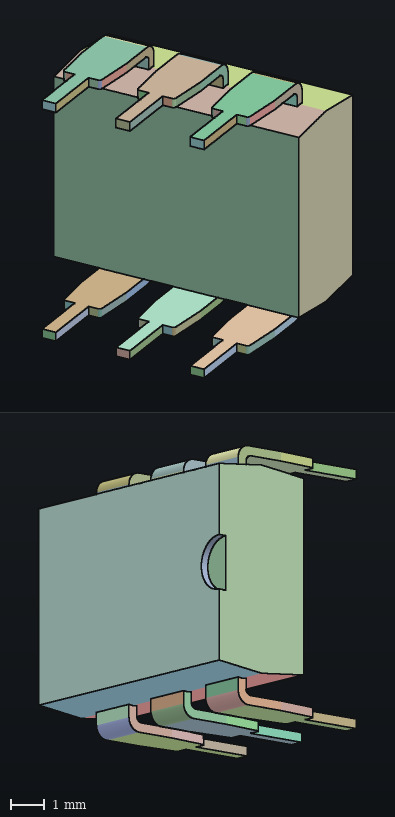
import cadquery as cq

BODY_LENGTH = 8.4
BODY_DEPTH = 3.3
BODY_FACE_HEIGHT = 6.01
BODY_RIDGE_HEIGHT = 6.36

NOTCH_RADIUS = 0.83
NOTCH_DEPTH = 0.25

LEADS_PER_ROW = 3
LEAD_PITCH = 2.54
LEAD_THICKNESS = 0.3
LEAD_SPAN = 7.92
LEAD_TIP_REACH = 6.55
OUTER_BEND_RADIUS = 0.4
INNER_BEND_RADIUS = 0.2

BLADE_WIDTH = 1.52
SHOULDER_WIDTH = 1.285
SHOULDER_RADIUS = 0.09
TIP_WIDTH = 0.48
TAPER_LENGTH = 1.39
TIP_LENGTH = 2.0

BODY_BACK_Y = BODY_DEPTH / 2
LEAD_TIP_Y = BODY_BACK_Y - LEAD_TIP_REACH
LEAD_BACK_Y = LEAD_THICKNESS / 2
SHOULDER_Y = LEAD_TIP_Y + TIP_LENGTH
TAPER_START_Y = SHOULDER_Y + TAPER_LENGTH
LEAD_OUTER_Z = LEAD_SPAN / 2
LEAD_INNER_Z = LEAD_OUTER_Z - LEAD_THICKNESS
LEAD_ROOT_Z = BODY_FACE_HEIGHT / 2


def make_body():
    """Ridged prism with the index notch cut into its back face."""
    face_z = BODY_FACE_HEIGHT / 2
    ridge_z = BODY_RIDGE_HEIGHT / 2
    section = [
        (-BODY_BACK_Y, -face_z),
        (0, -ridge_z),
        (BODY_BACK_Y, -face_z),
        (BODY_BACK_Y, face_z),
        (0, ridge_z),
        (-BODY_BACK_Y, face_z),
    ]
    prism = cq.Workplane("YZ").polyline(section).close().extrude(BODY_LENGTH / 2, both=True)
    notch = (
        cq.Workplane("XZ", origin=(-BODY_LENGTH / 2, BODY_BACK_Y, 0))
        .circle(NOTCH_RADIUS)
        .extrude(NOTCH_DEPTH)
    )
    return prism.cut(notch)


def make_bent_strip():
    """Full-width strip that rises from the ridge and bends toward -Y."""
    front_y = -LEAD_BACK_Y
    profile = [
        (LEAD_BACK_Y, LEAD_ROOT_Z),
        (LEAD_BACK_Y, LEAD_OUTER_Z),
        (LEAD_TIP_Y, LEAD_OUTER_Z),
        (LEAD_TIP_Y, LEAD_INNER_Z),
        (front_y, LEAD_INNER_Z),
        (front_y, LEAD_ROOT_Z),
    ]
    strip = cq.Workplane("YZ").polyline(profile).close().extrude(BLADE_WIDTH / 2, both=True)
    outer_corner = cq.NearestToPointSelector((0, LEAD_BACK_Y, LEAD_OUTER_Z))
    inner_corner = cq.NearestToPointSelector((0, front_y, LEAD_INNER_Z))
    strip = strip.edges(outer_corner).fillet(OUTER_BEND_RADIUS)
    return strip.edges(inner_corner).fillet(INNER_BEND_RADIUS)


def make_lead_outline():
    """Plan outline of a lead, as a block tall enough to trim the bent strip."""
    right_side = [
        (BLADE_WIDTH / 2, LEAD_BACK_Y),
        (BLADE_WIDTH / 2, TAPER_START_Y),
        (SHOULDER_WIDTH / 2, SHOULDER_Y),
        (TIP_WIDTH / 2, SHOULDER_Y),
        (TIP_WIDTH / 2, LEAD_TIP_Y),
    ]
    left_side = [(-x, y) for x, y in reversed(right_side)]
    block = cq.Workplane("XY").polyline(right_side + left_side).close().extrude(LEAD_OUTER_Z)
    for side in (-1, 1):
        shoulder = (side * SHOULDER_WIDTH / 2, SHOULDER_Y, LEAD_OUTER_Z / 2)
        block = block.edges(cq.NearestToPointSelector(shoulder)).fillet(SHOULDER_RADIUS)
    return block


def make_leads(body):
    """Both rows of leads, each lead ending on the body's ridged side."""
    upper_lead = make_bent_strip().intersect(make_lead_outline()).cut(body)
    lower_lead = upper_lead.mirror("XY")
    leads = []
    for index in range(LEADS_PER_ROW):
        x = (index - (LEADS_PER_ROW - 1) / 2) * LEAD_PITCH
        for lead in (upper_lead, lower_lead):
            leads.append(lead.translate((x, 0, 0)).solids().val())
    return leads


body = make_body()
leads = make_leads(body)

result = cq.Compound.makeCompound([body.solids().val(), *leads])